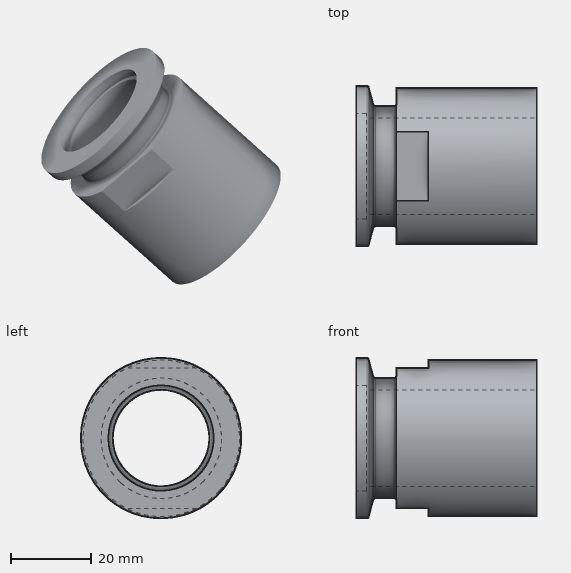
import cadquery as cq
import math

total_length = 45.0
flange_diameter = 40.0
neck_diameter = 30.0
barrel_diameter = 39.0
bore_diameter = 24.0
counterbore_diameter = 26.3
counterbore_depth = 2.5

flange_rim_width = 3.0
flange_cone_angle = 15.0
edge_radius = 0.5

shoulder_x = 10.0
flat_length = 8.0
across_flats = 35.0

flange_radius = flange_diameter / 2
neck_radius = neck_diameter / 2
barrel_radius = barrel_diameter / 2
cone_length = (flange_radius - neck_radius) * math.tan(math.radians(flange_cone_angle))
cone_end_x = flange_rim_width + cone_length


def ring_edges_at(x, radius):
    """Select the circular edge of the given radius lying in the plane at x."""
    tolerance = 0.022
    reach = radius + tolerance
    return cq.selectors.BoxSelector(
        (x - tolerance, -reach, -reach), (x + tolerance, reach, reach), boundingbox=True
    )


def make_turned_blank():
    """Flange, neck and barrel as one turned profile, with rounded corners."""
    blank = (
        cq.Workplane("XY")
        .polyline([
            (0, 0),
            (0, flange_radius),
            (flange_rim_width, flange_radius),
            (cone_end_x, neck_radius),
            (shoulder_x, neck_radius),
            (shoulder_x, barrel_radius),
            (total_length, barrel_radius),
            (total_length, 0),
        ])
        .close()
        .revolve(360, (0, 0, 0), (1, 0, 0))
    )
    corners = (
        (flange_rim_width, flange_radius),
        (cone_end_x, neck_radius),
        (shoulder_x, neck_radius),
    )
    for x, radius in corners:
        blank = blank.edges(ring_edges_at(x, radius)).fillet(edge_radius)
    return blank


def cut_wrench_flats(body):
    """Two opposite flats, above and below, starting at the shoulder."""
    flat_depth = (barrel_diameter - across_flats) / 2
    for side in (1, -1):
        cutter = cq.Workplane("XY").box(flat_length, barrel_diameter, flat_depth).translate(
            (shoulder_x + flat_length / 2, 0, side * (across_flats + flat_depth) / 2)
        )
        body = body.cut(cutter)
    return body


def cut_bore(body):
    """Through bore with a counterbore in the flange face."""
    bore = cq.Workplane("YZ").circle(bore_diameter / 2).extrude(total_length)
    counterbore = cq.Workplane("YZ").circle(counterbore_diameter / 2).extrude(counterbore_depth)
    return body.cut(bore).cut(counterbore)


adapter = cut_bore(cut_wrench_flats(make_turned_blank()))

result = cq.Compound.makeCompound([adapter.val()])